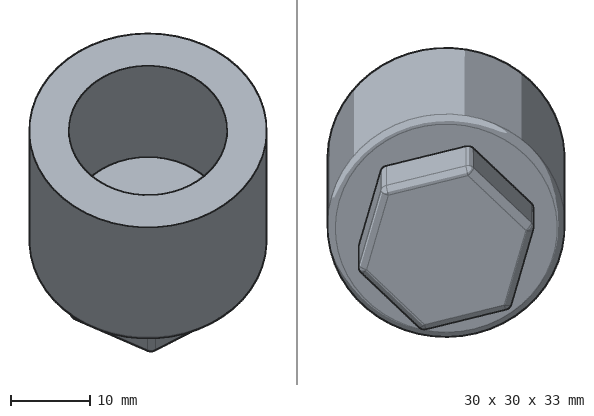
import cadquery as cq
import math

total_height = 33.0
body_diameter = 30.0
body_height = 25.0
bore_diameter = 20.0
bore_depth = 20.0
hex_across_flats = 20.0
edge_radius = 1.0

hex_height = total_height - body_height
hex_across_corners = hex_across_flats / math.cos(math.pi / 6)


def make_body():
    """Round socket body standing on the hex, with a rounded lower rim."""
    body = cq.Workplane("XY").workplane(offset=hex_height).circle(body_diameter / 2).extrude(body_height)
    return body.faces("<Z").edges().fillet(edge_radius)


def make_hex():
    """Hex drive with flats facing X and corners on Y, rounded on its sides and bottom."""
    drive = cq.Workplane("XY").polygon(6, hex_across_corners).extrude(hex_height)
    drive = drive.rotate((0, 0, 0), (0, 0, 1), 30)
    return drive.edges("|Z or <Z").fillet(edge_radius)


def make_bore():
    """Flat-bottomed blind bore, open at the top of the body."""
    bore_floor = total_height - bore_depth
    return cq.Workplane("XY").workplane(offset=bore_floor).circle(bore_diameter / 2).extrude(bore_depth)


result = make_body().union(make_hex()).cut(make_bore())